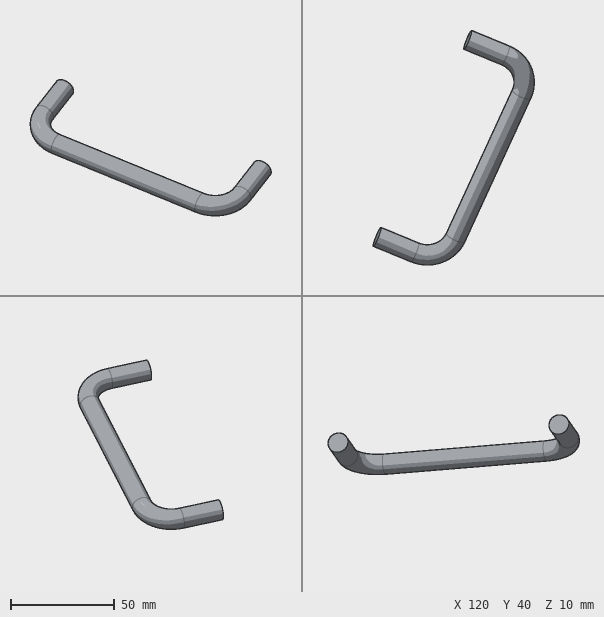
import cadquery as cq
import math

overall_length = 120.0
overall_depth = 40.0
rod_diameter = 10.0
bend_radius = 15.0

rod_radius = rod_diameter / 2
leg_x = overall_length / 2 - rod_radius
leg_end_y = overall_depth - rod_radius
grip_end_x = leg_x - bend_radius
bend_middle_x = grip_end_x + bend_radius * math.sin(math.radians(45))
bend_middle_y = bend_radius * (1 - math.cos(math.radians(45)))

centreline = (
    cq.Workplane("XY")
    .moveTo(-leg_x, leg_end_y)
    .lineTo(-leg_x, bend_radius)
    .threePointArc((-bend_middle_x, bend_middle_y), (-grip_end_x, 0))
    .lineTo(grip_end_x, 0)
    .threePointArc((bend_middle_x, bend_middle_y), (leg_x, bend_radius))
    .lineTo(leg_x, leg_end_y)
)

result = (
    cq.Workplane("XZ", origin=(-leg_x, leg_end_y, 0))
    .circle(rod_radius)
    .sweep(centreline)
)